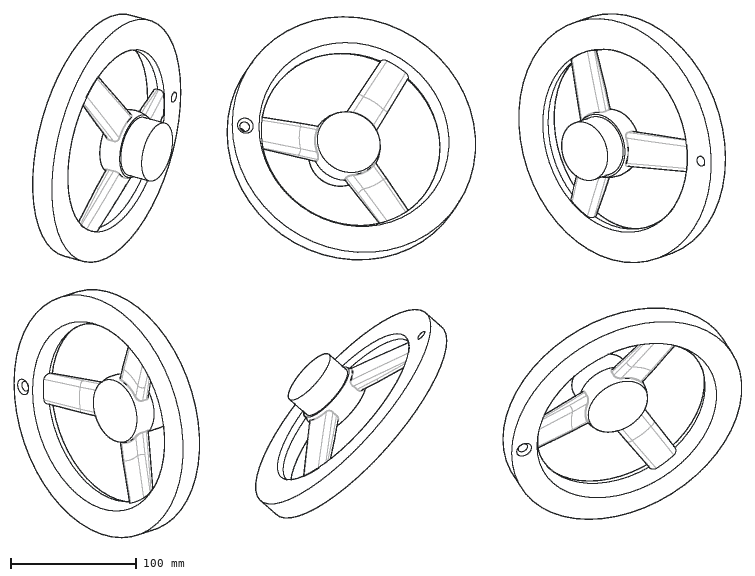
import cadquery as cq
import math

rim_radius = 100.0
rim_depth = 18.0
bore_front_radius = 78.0
bore_throat_radius = 73.5
bore_throat_x = 13.0
bore_back_radius = 75.0

overall_depth = 56.0
boss_radius = 48.0 / 2
hub_front_x = 18.0
hub_back_x = 36.5
hub_end_radius = 25.8
hub_bulge_radius = 27.5

spoke_count = 3
spoke_root_radius = 16.0
spoke_tip_radius = 76.0
spoke_root_width = 29.2
spoke_tip_width = 25.8
spoke_edge_fillet = 4.0
spoke_root_fillet = 0.5
spoke_back_x_at_rim = 18.0
spoke_back_rim_radius = 72.8
spoke_back_slope = 0.34
spoke_bend_radius = 41.0
spoke_bend_x = 16.8
spoke_front_inner_slope = 0.31
spoke_front_outer_slope = 0.26

hole_diameter = 8.0
hole_mouth_diameter = 12.8
hole_center_radius = 89.2


def turned(profile):
    """Revolve a closed (X, radius) profile about the X axis."""
    return profile.close().revolve(360, (0, 0, 0), (1, 0, 0))


def make_rim():
    """Ring whose bore narrows along a convex arc, level at the throat, then flares slightly."""
    bore_drop = bore_front_radius - bore_throat_radius
    arc_radius = (bore_throat_x**2 + bore_drop**2) / (2 * bore_drop)
    half_angle = math.asin(bore_throat_x / arc_radius) / 2
    arc_middle = (
        bore_throat_x - arc_radius * math.sin(half_angle),
        bore_throat_radius + arc_radius * (1 - math.cos(half_angle)),
    )
    profile = (
        cq.Workplane("XY")
        .moveTo(0, rim_radius)
        .lineTo(0, bore_front_radius)
        .threePointArc(arc_middle, (bore_throat_x, bore_throat_radius))
        .lineTo(rim_depth, bore_back_radius)
        .lineTo(rim_depth, rim_radius)
    )
    return turned(profile)


def make_hub():
    profile = (
        cq.Workplane("XY")
        .moveTo(hub_front_x, 0)
        .lineTo(hub_front_x, hub_end_radius)
        .threePointArc(((hub_front_x + hub_back_x) / 2, hub_bulge_radius), (hub_back_x, hub_end_radius))
        .lineTo(hub_back_x, boss_radius)
        .lineTo(overall_depth, boss_radius)
        .lineTo(overall_depth, 0)
    )
    return turned(profile)


def spoke_back_x(radius):
    return spoke_back_x_at_rim + spoke_back_slope * (spoke_back_rim_radius - radius)


def side_box(side):
    """Selects the long spoke edges on one side (+1 or -1 in Z), leaving out the end edges."""
    end_margin = 2.0
    return cq.selectors.BoxSelector(
        (0, spoke_root_radius + end_margin, side * spoke_tip_width / 4),
        (overall_depth, spoke_tip_radius - end_margin, side * spoke_root_width),
    )


def make_spoke():
    """One spoke along +Y: a turned dished plate trimmed to a tapered strip."""
    root_front_x = spoke_bend_x + spoke_front_inner_slope * (spoke_bend_radius - spoke_root_radius)
    tip_front_x = spoke_bend_x - spoke_front_outer_slope * (spoke_tip_radius - spoke_bend_radius)
    dish = turned(
        cq.Workplane("XY")
        .moveTo(root_front_x, spoke_root_radius)
        .lineTo(spoke_bend_x, spoke_bend_radius)
        .lineTo(tip_front_x, spoke_tip_radius)
        .lineTo(spoke_back_x(spoke_tip_radius), spoke_tip_radius)
        .lineTo(spoke_back_x(spoke_root_radius), spoke_root_radius)
    )
    strip = (
        cq.Workplane("YZ")
        .moveTo(0, -spoke_root_width / 2)
        .lineTo(spoke_tip_radius, -spoke_tip_width / 2)
        .lineTo(spoke_tip_radius, spoke_tip_width / 2)
        .lineTo(0, spoke_root_width / 2)
        .close()
        .extrude(overall_depth)
    )
    spoke = dish.intersect(strip)
    long_edges = spoke.edges(side_box(1) + side_box(-1))
    return long_edges.fillet(spoke_edge_fillet)


def make_handle_hole():
    sink_depth = (hole_mouth_diameter - hole_diameter) / 2
    drill = (
        cq.Workplane("XY")
        .lineTo(0, hole_mouth_diameter / 2)
        .lineTo(sink_depth, hole_diameter / 2)
        .lineTo(rim_depth, hole_diameter / 2)
        .lineTo(rim_depth, 0)
    )
    return turned(drill).translate((0, hole_center_radius, 0))


def make_hub_with_spokes():
    """Hub and spokes joined, with a small blend where each spoke meets the bulge."""
    body = make_hub()
    spoke = make_spoke()
    for index in range(spoke_count):
        body = body.union(spoke.rotate((0, 0, 0), (1, 0, 0), index * 360 / spoke_count))
    root_edges = body.faces("%REVOLUTION").edges("not %CIRCLE")
    return root_edges.fillet(spoke_root_fillet)


result = make_hub_with_spokes().union(make_rim()).cut(make_handle_hole())